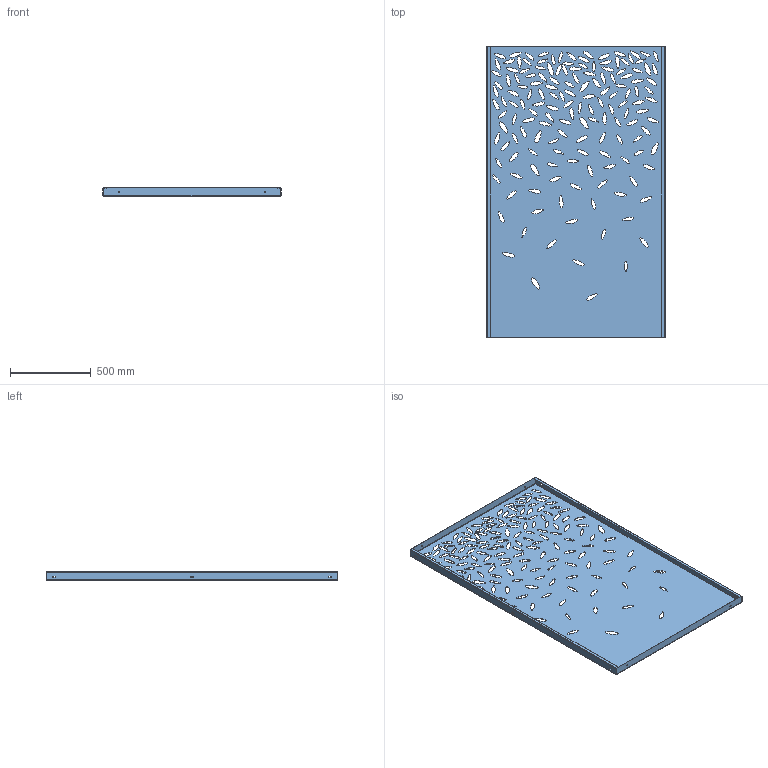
import cadquery as cq
import math


width = 1100.0
length = 1800.0
height = 50.0
sheet = 2.0
bend_radius = 4.0
flange_width = 20.0

inner_bend_radius = bend_radius - sheet
flat_half_width = width / 2 - bend_radius

end_hole_diameter = 8.0
end_hole_x = 450.0
end_hole_z = height / 2

slot_length = 20.0
slot_height = 8.0
slot_end_y = 850.0
slot_z = 20.0

large_leaf = (81.0, 29.0)
medium_leaf = (73.0, 23.0)
small_leaf = (65.0, 19.0)

tail_fraction = -0.52
shoulder_fraction = 0.08
nose_fraction = 0.48

tail_width_fraction = 0.25
nose_width_fraction = 0.35

large_leaf_places = [
    (-158, 759, 290), (443, 757, 290), (52, 651, 230), (50, 427, 125), (-448, 401, 125),
    (-234, 341, 250), (486, 266, 245), (-254, 136, 125), (-250, -563, 125),
]
medium_leaf_places = [
    (272, 851, 160), (-374, 849, 200), (75, 847, 145), (369, 847, 325), (-467, 839, 340),
    (-26, 837, 320), (172, 835, 25), (50, 818, 335), (-413, 805, 15), (-350, 803, 95),
    (257, 802, 95), (185, 800, 15), (-484, 788, 290), (-6, 761, 180), (196, 759, 345),
    (486, 757, 290), (-69, 755, 295), (-107, 754, 245), (-393, 754, 345), (84, 730, 350),
    (312, 714, 20), (-206, 709, 130), (168, 702, 110), (-2, 702, 300), (-418, 690, 100),
    (-132, 686, 325), (377, 684, 190), (468, 682, 325), (128, 672, 310), (-247, 670, 185),
    (-153, 647, 165), (179, 622, 220), (-496, 621, 290), (-36, 610, 150), (-386, 610, 335),
    (-214, 606, 115), (80, 589, 190), (467, 569, 340), (386, 553, 15), (-45, 544, 35),
    (-230, 543, 10), (-494, 539, 300), (-145, 519, 345), (410, 499, 190), (-25, 484, 100),
    (-163, 463, 130), (177, 454, 270), (-291, 444, 15), (473, 443, 160), (-67, 433, 345),
    (349, 428, 25), (-190, 421, 165), (433, 377, 315), (-325, 370, 295), (-85, 362, 140),
    (163, 333, 245), (-486, 330, 250), (36, 327, 30), (-438, 282, 225), (44, 243, 335),
    (179, 233, 150), (-383, 217, 45), (209, 156, 15), (450, 153, 160), (88, 130, 290),
    (-367, 100, 340), (-128, 80, 200), (356, 64, 305), (163, 50, 220), (-2, 33, 155),
    (-253, 6, 350), (273, -14, 170), (-397, -17, 40), (432, -46, 200), (-92, -62, 275),
    (-238, -120, 195), (-462, -155, 295), (-25, -182, 15), (421, -312, 310), (-151, -322, 45),
    (-415, -388, 345), (17, -437, 335), (98, -649, 210),
]
small_leaf_places = [
    (428, 851, 335), (-201, 850, 20), (494, 837, 110), (-286, 837, 320), (-95, 834, 75),
    (339, 821, 295), (-140, 816, 280), (-208, 808, 200), (397, 808, 200), (-303, 804, 140),
    (302, 804, 140), (-49, 793, 175), (44, 779, 335), (110, 774, 270), (-220, 766, 165),
    (377, 750, 160), (-320, 747, 200), (277, 743, 210), (-492, 732, 150), (-280, 719, 10),
    (227, 702, 115), (-363, 699, 295), (-41, 664, 150), (-477, 656, 315), (279, 655, 175),
    (-330, 649, 355), (453, 626, 320), (375, 621, 100), (321, 608, 65), (-286, 600, 255),
    (231, 599, 220), (-134, 594, 325), (-86, 590, 115), (-445, 557, 295), (151, 553, 295),
    (-330, 543, 110), (289, 543, 35), (-385, 542, 325), (23, 520, 80), (218, 511, 295),
    (92, 509, 290), (-263, 491, 320), (311, 483, 250), (-455, 477, 220), (-380, 451, 75),
    (106, 446, 160), (258, 431, 300), (-377, 332, 115), (383, 330, 35), (269, 325, 120),
    (-137, 314, 20), (-109, 248, 160), (-267, 246, 145), (388, 242, 205), (305, 196, 320),
    (-20, 191, 180), (-477, 178, 300), (-147, 167, 165), (-492, 80, 130), (107, -75, 290),
    (323, -167, 10), (-320, -248, 70), (170, -259, 70), (308, -459, 90),
]


def bent_strip(half_span, with_flange):
    """Half profile of the tray section: bottom, bend, wall and optional top flange.

    Drawn in (u, z), u being the distance outwards from the tray centre plane; the
    strip starts at the inner end of the bend, where the flat panel begins.
    """
    diagonal = math.sqrt(0.5)
    bend_u = half_span - bend_radius
    wall_inner = half_span - sheet
    low_z = bend_radius
    high_z = height - bend_radius
    outer_reach = bend_radius * diagonal
    inner_reach = inner_bend_radius * diagonal

    strip = (
        cq.Workplane("XZ")
        .moveTo(bend_u, sheet)
        .lineTo(bend_u, 0)
        .threePointArc((bend_u + outer_reach, low_z - outer_reach), (half_span, low_z))
    )
    if with_flange:
        flange_edge = half_span - flange_width
        strip = (
            strip.lineTo(half_span, high_z)
            .threePointArc((bend_u + outer_reach, high_z + outer_reach), (bend_u, height))
            .lineTo(flange_edge, height)
            .lineTo(flange_edge, height - sheet)
            .lineTo(bend_u, height - sheet)
            .threePointArc((bend_u + inner_reach, high_z + inner_reach), (wall_inner, high_z))
        )
    else:
        strip = strip.lineTo(half_span, height).lineTo(wall_inner, height)
    return (
        strip.lineTo(wall_inner, low_z)
        .threePointArc((bend_u + inner_reach, low_z - inner_reach), (bend_u, sheet))
        .close()
    )


def tray():
    """Flat panel with two flanged side walls and two plain end walls."""
    flat_length = length - 2 * bend_radius
    body = cq.Workplane("XY").box(2 * flat_half_width, flat_length, sheet, centered=(True, True, False))
    side = bent_strip(width / 2, True).extrude(length / 2, both=True)
    end = bent_strip(length / 2, False).extrude(flat_half_width, both=True)
    origin = (0, 0, 0)
    z_axis = (0, 0, 1)
    for turn in (0, 180):
        body = body.union(side.rotate(origin, z_axis, turn))
        body = body.union(end.rotate(origin, z_axis, turn + 90))
    return body


def end_wall_holes():
    """Round holes running through both end walls."""
    return (
        cq.Workplane("XZ")
        .pushPoints([(-end_hole_x, end_hole_z), (end_hole_x, end_hole_z)])
        .circle(end_hole_diameter / 2)
        .extrude(length, both=True)
    )


def side_wall_slots():
    """Horizontal slots running through both side walls."""
    return (
        cq.Workplane("YZ")
        .pushPoints([(y, slot_z) for y in (-slot_end_y, 0, slot_end_y)])
        .slot2D(slot_length, slot_height)
        .extrude(width, both=True)
    )


def arc_from_shoulder(reach, drop):
    """Midpoint of the arc that leaves the shoulder parallel to the leaf axis.

    The arc falls by drop over the distance reach. Returns how far the midpoint
    lies from the shoulder along the axis and how far it has fallen.
    """
    radius = (reach ** 2 + drop ** 2) / (2 * drop)
    half_angle = math.asin(reach / radius) / 2
    return radius * math.sin(half_angle), radius * (1 - math.cos(half_angle))


def leaf_cutter(leaf_size):
    """Leaf pointing along +X: long narrow tail, short nose, smooth shoulders."""
    leaf_length, leaf_width = leaf_size
    half_width = leaf_width / 2
    tail = tail_fraction * leaf_length
    shoulder = shoulder_fraction * leaf_length
    nose = nose_fraction * leaf_length
    tail_y = tail_width_fraction * half_width
    nose_y = nose_width_fraction * half_width
    tail_run, tail_fall = arc_from_shoulder(shoulder - tail, half_width - tail_y)
    nose_run, nose_fall = arc_from_shoulder(nose - shoulder, half_width - nose_y)
    tail_side = (shoulder - tail_run, half_width - tail_fall)
    nose_side = (shoulder + nose_run, half_width - nose_fall)
    return (
        cq.Workplane("XY")
        .moveTo(tail, -tail_y)
        .lineTo(tail, tail_y)
        .threePointArc(tail_side, (shoulder, half_width))
        .threePointArc(nose_side, (nose, nose_y))
        .lineTo(nose, -nose_y)
        .threePointArc((nose_side[0], -nose_side[1]), (shoulder, -half_width))
        .threePointArc((tail_side[0], -tail_side[1]), (tail, -tail_y))
        .close()
        .extrude(sheet, both=True)
        .val()
    )


def leaf_cutters():
    """All leaves of the pattern, placed on the panel."""
    cutters = []
    for leaf_size, places in (
        (large_leaf, large_leaf_places),
        (medium_leaf, medium_leaf_places),
        (small_leaf, small_leaf_places),
    ):
        leaf = leaf_cutter(leaf_size)
        for x, y, heading in places:
            cutters.append(leaf.moved(cq.Location(cq.Vector(x, y, 0), cq.Vector(0, 0, 1), heading)))
    return cutters


body = tray().cut(end_wall_holes()).cut(side_wall_slots())
result = cq.Workplane(body.val().cut(*leaf_cutters()))